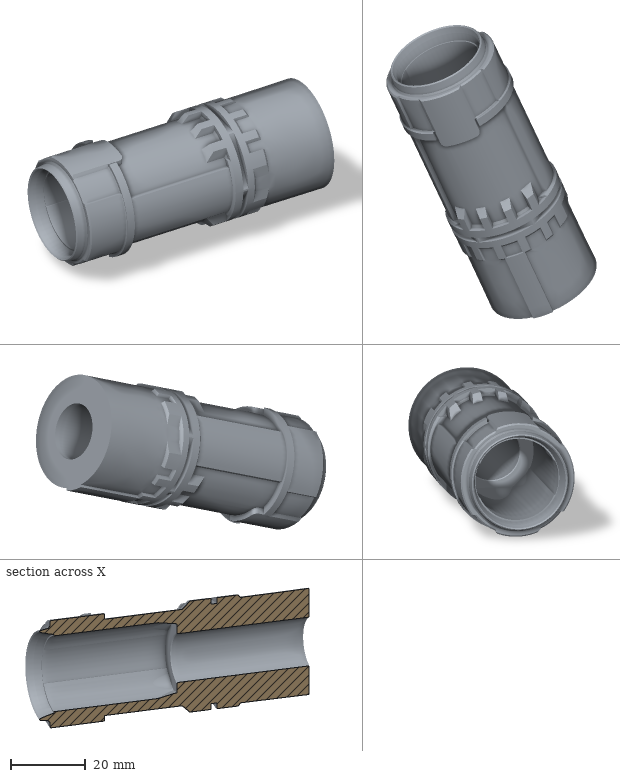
import cadquery as cq
import math

LENGTH = 78.5
FLANGE_R = 16.0
BODY_R = 14.0

NOSE_TIP_R = 13.1
NOSE_ROOT_R = 13.45
NOSE_TIP_FILLET = 0.3
NOSE_END = 3.0
BAND_R = 15.5
BAND_PANEL_R = 14.9
BAND_CHAMFER = 0.4
RING_FOOT = 0.25
NOSE_FOOT = 0.45
RING_START = 14.1
RING_END = 16.35

TAB_END = 19.1
TAB_HALF_WIDTH = 5.6
TAB_CORNER_R = 1.4
PANEL_FLOOR_X = 6.1
PANEL_RIM_X = 5.4
RING_GAP_X = 6.25
PANEL_LOW_Z = 9.0

WING_CREST_X = 15.35
WING_EDGE_X = 13.4
WING_HALF_HEIGHT = 6.85

COLLAR_START = 47.6
COLLAR_END = 53.5
COLLAR_FRONT_SLOPE = 0.6
SIDE_FOOT_HALF_HEIGHT = 8.75
COLLAR_REAR_SLOPE = 0.8
GROOVE_START = 49.95
GROOVE_END = 51.5
GROOVE_APOTHEM = 14.0

SLEEVE_FRONT_R = 15.25
SLEEVE_REAR_R = 15.35
KEY_HALF_WIDTH = 2.85

FRONT_TOOTH_END = 41.55
FRONT_TOOTH_SLOPE_START = 43.7
REAR_TOOTH_END = 58.5
REAR_TOOTH_SLOPE_START = 57.75
TOOTH_CORE_R = 13.0
TOOTH_DEPTH = 4.0
TOOTH_RISE = 1.0
FRONT_TEETH = [(2.37, 6.0, 4.54, -8.0), (9.05, 30.0, 10.9, 0.0)]
REAR_TEETH = FRONT_TEETH + [(13.1, 40.0, 15.1, 0.0)]

MOUTH_R = 12.8
MOUTH_CHAMFER = 0.3
THROAT_Y = 2.0
THROAT_R = 12.0
SEAT_Y = 4.2
SEAT_R = 11.5
SOCKET_R = 11.1
RELIEF_R = 11.35
RELIEF_HALF_HEIGHT = 4.7
SHELF_Y = 40.0
RAMP_LENGTH = 10.0
FLAT_APOTHEM = 9.57
DIAGONAL_APOTHEM = 10.85
BORE_R = 7.6
BORE_CHAMFER = 0.25

EXTRA = 2.0


def turned(points):
    """Solid of revolution about Y from (radius, y) points."""
    return cq.Workplane("XY").polyline(points).close().revolve(360, (0, 0, 0), (0, 1, 0))


def ring(inner_r, outer_r, start, end):
    return turned([(inner_r, start), (outer_r, start), (outer_r, end), (inner_r, end)])


def section_at(y):
    """Sketch plane across the axis; its normal is +Y and its local x is -X."""
    return cq.Workplane(cq.Plane(origin=(0, y, 0), xDir=(-1, 0, 0), normal=(0, 1, 0)))


def slab(x_half, z_half, start, end):
    """Block centred on the axis."""
    return section_at(start).rect(2 * x_half, 2 * z_half).extrude(end - start)


def mirrored_four(solid):
    """Copies of a solid in all four X/Z quadrants."""
    pair = solid.union(solid.mirror("YZ"))
    return pair.union(pair.mirror("XY"))


def outer_shell():
    return turned([
        (0, 0), (NOSE_TIP_R - NOSE_TIP_FILLET, 0), (NOSE_TIP_R, NOSE_TIP_FILLET),
        (NOSE_ROOT_R, NOSE_END - NOSE_FOOT), (NOSE_ROOT_R + NOSE_FOOT, NOSE_END),
        (BAND_R - BAND_CHAMFER, NOSE_END), (BAND_R, NOSE_END + BAND_CHAMFER),
        (BAND_R, RING_START - RING_FOOT), (BAND_R + RING_FOOT, RING_START),
        (FLANGE_R, RING_START), (FLANGE_R, RING_END),
        (BODY_R, RING_END), (BODY_R, COLLAR_START - COLLAR_FRONT_SLOPE),
        (BODY_R + COLLAR_FRONT_SLOPE, COLLAR_START), (FLANGE_R, COLLAR_START),
        (FLANGE_R, COLLAR_END), (SLEEVE_FRONT_R, COLLAR_END + COLLAR_REAR_SLOPE),
        (SLEEVE_REAR_R, LENGTH), (0, LENGTH),
    ])


def band_panels():
    """Cutter for the four sunken panels of the front band."""
    clear_r = FLANGE_R + EXTRA
    blank = turned([
        (clear_r, NOSE_END), (BAND_PANEL_R - BAND_CHAMFER, NOSE_END),
        (BAND_PANEL_R, NOSE_END + BAND_CHAMFER),
        (BAND_PANEL_R, RING_START - RING_FOOT), (BAND_PANEL_R + RING_FOOT, RING_START),
        (clear_r, RING_START),
    ])
    floor_z = math.sqrt(BAND_PANEL_R ** 2 - PANEL_FLOOR_X ** 2)
    rim_z = math.sqrt(BAND_R ** 2 - PANEL_RIM_X ** 2)
    window = (
        section_at(NOSE_END)
        .polyline([
            (-PANEL_FLOOR_X, PANEL_LOW_Z), (-PANEL_FLOOR_X, floor_z), (-PANEL_RIM_X, rim_z),
            (-PANEL_RIM_X, clear_r), (-clear_r, clear_r), (-clear_r, PANEL_LOW_Z),
        ])
        .close().extrude(RING_START - NOSE_END)
    )
    return mirrored_four(blank.intersect(window))


def ring_gaps():
    """Cutter that opens the front ring and its foot around both tabs."""
    clear_r = FLANGE_R + EXTRA
    foot_start = RING_START - RING_FOOT
    gap = ring(BODY_R, clear_r, RING_START, RING_END)
    gap = gap.intersect(slab(RING_GAP_X, clear_r, RING_START, RING_END))
    foot = ring(BAND_R, clear_r, foot_start, RING_START)
    return gap.union(foot.intersect(slab(TAB_HALF_WIDTH, clear_r, foot_start, RING_START)))


def front_tabs():
    """Round-cornered tabs reaching over the ring, above and below."""
    length = TAB_END - RING_START
    outline = (
        cq.Workplane("XY").center(0, RING_START + length / 2)
        .rect(2 * TAB_HALF_WIDTH, length).extrude(FLANGE_R, both=True)
        .edges("|Z and >Y").fillet(TAB_CORNER_R)
    )
    return outline.intersect(ring(TOOTH_CORE_R, BAND_R, RING_START, TAB_END))


def side_wings():
    """Bulged segments on both sides of the middle section."""
    length = COLLAR_START - RING_START
    return (
        section_at(RING_START)
        .moveTo(-WING_EDGE_X, -WING_HALF_HEIGHT)
        .threePointArc((-WING_CREST_X, 0), (-WING_EDGE_X, WING_HALF_HEIGHT))
        .lineTo(WING_EDGE_X, WING_HALF_HEIGHT)
        .threePointArc((WING_CREST_X, 0), (WING_EDGE_X, -WING_HALF_HEIGHT))
        .close().extrude(length)
    )


def side_feet():
    """Sloped feet in front of the collar on both sides, between the teeth."""
    start = COLLAR_START - COLLAR_FRONT_SLOPE
    cone = turned([
        (TOOTH_CORE_R, start), (FLANGE_R - COLLAR_FRONT_SLOPE, start),
        (FLANGE_R, COLLAR_START), (TOOTH_CORE_R, COLLAR_START),
    ])
    return cone.intersect(slab(FLANGE_R + EXTRA, SIDE_FOOT_HALF_HEIGHT, start, COLLAR_START))


def wall_points(crest_x, lean):
    """Root and top points of a tooth wall that crosses the crest circle at crest_x."""
    crest_z = math.sqrt(FLANGE_R ** 2 - crest_x ** 2)
    run = math.tan(math.radians(lean))
    root = (-(crest_x - TOOTH_DEPTH * run), crest_z - TOOTH_DEPTH)
    top = (-(crest_x + TOOTH_RISE * run), crest_z + TOOTH_RISE)
    return root, top


def tooth_set(teeth, start, end, envelope):
    """Teeth between two Y positions, trimmed to a turned envelope."""
    teeth_solid = None
    for inner_x, inner_lean, outer_x, outer_lean in teeth:
        inner_root, inner_top = wall_points(inner_x, inner_lean)
        outer_root, outer_top = wall_points(outer_x, outer_lean)
        outline = [inner_root, inner_top, outer_top, outer_root]
        tooth = section_at(start).polyline(outline).close().extrude(end - start)
        tooth = tooth.intersect(envelope)
        teeth_solid = tooth if teeth_solid is None else teeth_solid.union(tooth)
    return mirrored_four(teeth_solid)


def front_teeth():
    envelope = turned([
        (TOOTH_CORE_R, FRONT_TOOTH_END), (BODY_R, FRONT_TOOTH_END),
        (FLANGE_R, FRONT_TOOTH_SLOPE_START), (FLANGE_R, COLLAR_START), (TOOTH_CORE_R, COLLAR_START),
    ])
    return tooth_set(FRONT_TEETH, FRONT_TOOTH_END, COLLAR_START, envelope)


def rear_teeth():
    envelope = turned([
        (TOOTH_CORE_R, COLLAR_END), (FLANGE_R, COLLAR_END), (FLANGE_R, REAR_TOOTH_SLOPE_START),
        (SLEEVE_FRONT_R, REAR_TOOTH_END), (TOOTH_CORE_R, REAR_TOOTH_END),
    ])
    return tooth_set(REAR_TEETH, COLLAR_END, REAR_TOOTH_END, envelope)


def sleeve_key():
    """Key along the underside of the rear sleeve."""
    start = REAR_TOOTH_SLOPE_START
    bar = section_at(start).center(0, -FLANGE_R).rect(2 * KEY_HALF_WIDTH, FLANGE_R).extrude(LENGTH - start)
    return bar.intersect(ring(TOOTH_CORE_R, FLANGE_R, start, LENGTH))


def collar_groove():
    """Cutter for the collar groove; its floor is a hexagon with flats above and below."""
    width = GROOVE_END - GROOVE_START
    across_corners = 2 * GROOVE_APOTHEM / math.cos(math.pi / 6)
    hexagon = section_at(GROOVE_START).polygon(6, across_corners).extrude(width)
    return section_at(GROOVE_START).circle(FLANGE_R + EXTRA).extrude(width).cut(hexagon)


def ramp(apothem, angle):
    """Wedge that narrows the socket to a flat at the shelf."""
    wedge = (
        cq.Workplane("YZ")
        .moveTo(SHELF_Y - RAMP_LENGTH, RELIEF_R).lineTo(SHELF_Y, apothem)
        .lineTo(SHELF_Y, RELIEF_R + EXTRA).lineTo(SHELF_Y - RAMP_LENGTH, RELIEF_R + EXTRA)
        .close().extrude(FLANGE_R, both=True)
    )
    return wedge.rotate((0, 0, 0), (0, 1, 0), angle)


def socket_and_bore():
    """Cutter for the stepped socket, its ramps and the through bore."""
    mouth = turned([
        (0, 0), (MOUTH_R, 0), (MOUTH_R - MOUTH_CHAMFER, MOUTH_CHAMFER), (THROAT_R, THROAT_Y),
        (SEAT_R, SEAT_Y), (0, SEAT_Y),
    ])
    socket = section_at(SEAT_Y).circle(SOCKET_R).extrude(SHELF_Y - SEAT_Y)
    relief = section_at(SEAT_Y).circle(RELIEF_R).extrude(SHELF_Y - SEAT_Y)
    socket = socket.union(relief.intersect(slab(FLANGE_R, RELIEF_HALF_HEIGHT, SEAT_Y, SHELF_Y)))
    for angle in (0, 180):
        socket = socket.cut(ramp(FLAT_APOTHEM, angle))
    for angle in (45, 135, 225, 315):
        socket = socket.cut(ramp(DIAGONAL_APOTHEM, angle))
    bore = turned([
        (0, SHELF_Y), (BORE_R + BORE_CHAMFER, SHELF_Y), (BORE_R, SHELF_Y + BORE_CHAMFER),
        (BORE_R, LENGTH), (0, LENGTH),
    ])
    return mouth.union(socket).union(bore)


result = outer_shell().union(sleeve_key()).cut(collar_groove())
result = result.cut(band_panels()).cut(ring_gaps())
result = result.union(front_tabs()).union(side_wings()).union(side_feet())
result = result.union(front_teeth()).union(rear_teeth())
result = result.cut(socket_and_bore())